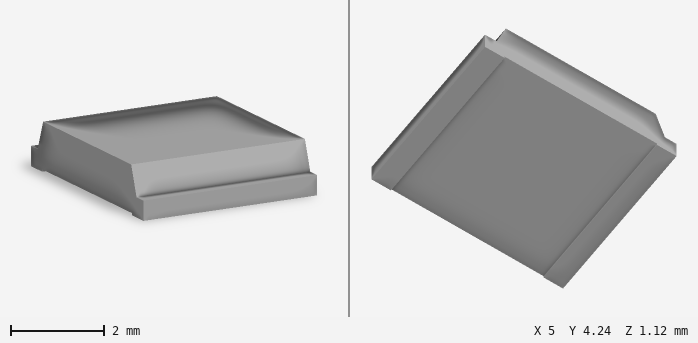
import cadquery as cq

length = 5.0
width = 4.24
height = 1.12

base_height = 0.45
ledge_width = 0.305
body_top_length = 3.91

pad_length = 0.51
pad_height = 0.05

half_length = length / 2
half_body_bottom = half_length - ledge_width
half_body_top = body_top_length / 2
half_relief = half_length - pad_length

right_half = [
    (half_relief, pad_height),
    (half_relief, 0),
    (half_length, 0),
    (half_length, base_height),
    (half_body_bottom, base_height),
    (half_body_top, height),
]
left_half = [(-x, z) for x, z in reversed(right_half)]

result = (
    cq.Workplane("XZ")
    .polyline(right_half + left_half)
    .close()
    .extrude(width / 2, both=True)
)